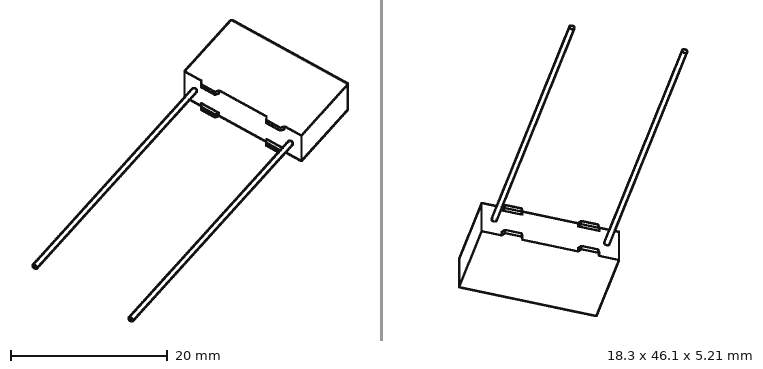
import cadquery as cq


housing_length = 18.3
housing_thickness = 5.21
seated_height = 11.1
back_edge_radius = 0.4

foot_height = 0.5
foot_base_length = 2.8
foot_bevel = 0.3
foot_thickness = 0.6
foot_offset = 5.1

lead_pitch = 15.0
lead_diameter = 0.7
lead_reach = 35.0


def make_foot(center_x, center_z):
    """Trapezoidal foot tapering from the housing face down to the seating plane."""
    half_base = foot_base_length / 2
    half_tip = half_base - foot_bevel
    return (
        cq.Workplane("XY")
        .moveTo(center_x - half_base, foot_height)
        .lineTo(center_x - half_tip, 0)
        .lineTo(center_x + half_tip, 0)
        .lineTo(center_x + half_base, foot_height)
        .close()
        .extrude(foot_thickness / 2, both=True)
        .translate((0, 0, center_z))
    )


def make_housing():
    """Rectangular case with rounded back edges and four feet along its front edges."""
    case_depth = seated_height - foot_height
    case = (
        cq.Workplane("XY")
        .box(housing_length, case_depth, housing_thickness)
        .translate((0, foot_height + case_depth / 2, 0))
        .faces(">Y")
        .edges()
        .fillet(back_edge_radius)
    )
    foot_center_z = (housing_thickness - foot_thickness) / 2
    for center_x in (-foot_offset, foot_offset):
        for center_z in (-foot_center_z, foot_center_z):
            case = case.union(make_foot(center_x, center_z))
    return case


def make_lead(center_x):
    """Round wire from the housing's front face to its free end below the seating plane."""
    return (
        cq.Workplane("XZ", origin=(center_x, foot_height, 0))
        .circle(lead_diameter / 2)
        .extrude(foot_height + lead_reach)
    )


housing = make_housing()
leads = [make_lead(center_x) for center_x in (-lead_pitch / 2, lead_pitch / 2)]

result = cq.Compound.makeCompound([housing.val(), *[lead.val() for lead in leads]])